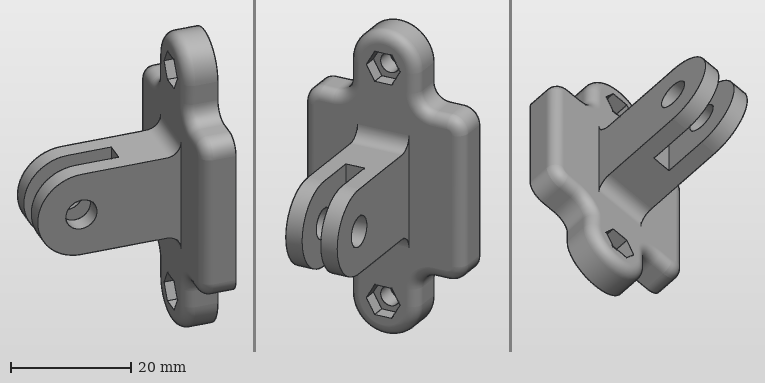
import cadquery as cq
import math

PLATE_SIZE = 30.0
PLATE_THICKNESS = 6.0
PLATE_CORNER_RADIUS = 3.0
FRONT_EDGE_RADIUS = 2.0

EAR_RADIUS = 6.4
EAR_HEIGHT = 55.6
EAR_BLEND_RADIUS = 3.0
EAR_PAIR_Z = 0.2
SCREW_DIAMETER = 3.6
NUT_ACROSS_FLATS = 5.5
NUT_DEPTH = 2.5
SCREW_OFFSET = EAR_HEIGHT / 2 - EAR_RADIUS

TOTAL_DEPTH = 31.4
PRONG_THICKNESS = 3.1
SLOT_WIDTH = 3.5
SLOT_DEPTH = 15.5
ARM_HEIGHT = 15.5
ARM_ROOT_RADIUS = 2.5
PIVOT_DIAMETER = 5.5
ARM_WIDTH = SLOT_WIDTH + 2 * PRONG_THICKNESS
ARM_RADIUS = ARM_HEIGHT / 2

FRONT_Y = -PLATE_THICKNESS
TIP_Y = -TOTAL_DEPTH
PIVOT_Y = TIP_Y + ARM_RADIUS


def make_plate():
    """Square plate with two rounded ears, all outline corners and front edges blended."""
    square = cq.Workplane("XZ").rect(PLATE_SIZE, PLATE_SIZE).extrude(PLATE_THICKNESS)
    square = square.edges("|Y").fillet(PLATE_CORNER_RADIUS)
    ears = (
        cq.Workplane("XZ")
        .center(0, EAR_PAIR_Z)
        .slot2D(EAR_HEIGHT, 2 * EAR_RADIUS, 90)
        .extrude(PLATE_THICKNESS)
    )
    plate = square.union(ears)

    ear_corners = [
        (x_side * EAR_RADIUS, FRONT_Y / 2, z_side * PLATE_SIZE / 2)
        for x_side in (-1, 1)
        for z_side in (-1, 1)
    ]
    for corner in ear_corners:
        plate = plate.edges(cq.selectors.NearestToPointSelector(corner)).fillet(EAR_BLEND_RADIUS)

    return plate.faces("<Y").edges().fillet(FRONT_EDGE_RADIUS)


def make_arm():
    """Arm with a round tip, flared where its top and bottom meet the plate."""
    flare_half_height = ARM_RADIUS + ARM_ROOT_RADIUS
    flare_end_y = FRONT_Y - ARM_ROOT_RADIUS
    flare_inset = ARM_ROOT_RADIUS * (1 - math.sqrt(0.5))
    flare_mid_y = FRONT_Y - flare_inset
    flare_mid_z = ARM_RADIUS + flare_inset

    return (
        cq.Workplane("YZ", origin=(-ARM_WIDTH / 2, 0, 0))
        .moveTo(FRONT_Y, flare_half_height)
        .threePointArc((flare_mid_y, flare_mid_z), (flare_end_y, ARM_RADIUS))
        .lineTo(PIVOT_Y, ARM_RADIUS)
        .threePointArc((TIP_Y, 0), (PIVOT_Y, -ARM_RADIUS))
        .lineTo(flare_end_y, -ARM_RADIUS)
        .threePointArc((flare_mid_y, -flare_mid_z), (FRONT_Y, -flare_half_height))
        .close()
        .extrude(ARM_WIDTH)
    )


def make_fork_slot():
    """Slot open at the tip that splits the arm into two prongs."""
    return (
        cq.Workplane("XY")
        .box(SLOT_WIDTH, SLOT_DEPTH, ARM_HEIGHT)
        .translate((0, TIP_Y + SLOT_DEPTH / 2, 0))
    )


def make_pivot_hole():
    """Cross hole through both prongs, concentric with the round tip."""
    return (
        cq.Workplane("YZ")
        .center(PIVOT_Y, 0)
        .circle(PIVOT_DIAMETER / 2)
        .extrude(ARM_WIDTH / 2, both=True)
    )


def make_screw_holes():
    """Through hole in each ear with a hexagonal nut pocket sunk into the front."""
    screw_centers = [(0, EAR_PAIR_Z + SCREW_OFFSET), (0, EAR_PAIR_Z - SCREW_OFFSET)]
    nut_across_corners = NUT_ACROSS_FLATS / math.cos(math.pi / 6)
    holes = (
        cq.Workplane("XZ")
        .pushPoints(screw_centers)
        .circle(SCREW_DIAMETER / 2)
        .extrude(PLATE_THICKNESS)
    )
    pockets = (
        cq.Workplane("XZ", origin=(0, FRONT_Y, 0))
        .pushPoints(screw_centers)
        .polygon(6, nut_across_corners)
        .extrude(-NUT_DEPTH)
    )
    return holes.union(pockets)


result = (
    make_plate()
    .union(make_arm())
    .cut(make_fork_slot())
    .cut(make_pivot_hole())
    .cut(make_screw_holes())
)